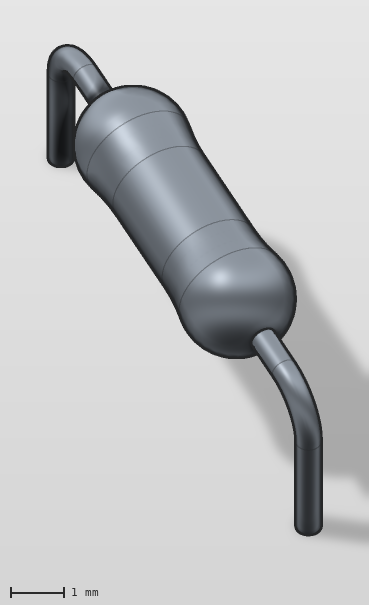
import cadquery as cq
import math

overall_length = 10.66
overall_height = 4.62
wire_diameter = 0.5
bend_radius = 1.0
end_ball_diameter = 2.24
barrel_diameter = 2.0
barrel_length = 2.03
body_length = 6.48

ball_radius = end_ball_diameter / 2
barrel_radius = barrel_diameter / 2
wire_radius = wire_diameter / 2
barrel_end = barrel_length / 2
body_end = body_length / 2
ball_center = body_end - ball_radius
lead_x = (overall_length - wire_diameter) / 2
lead_bottom = ball_radius - overall_height

neck_run = ball_center - barrel_end
neck_radius = (neck_run**2 + barrel_radius**2 - ball_radius**2) / (2 * (ball_radius - barrel_radius))
neck_center_height = barrel_radius + neck_radius
neck_angle = math.asin(neck_run / (neck_radius + ball_radius))


def point_on_neck(angle):
    """Point on the neck arc, with the angle measured from the barrel end."""
    x = barrel_end + neck_radius * math.sin(angle)
    height = neck_center_height - neck_radius * math.cos(angle)
    return x, height


def mirrored(point):
    return -point[0], point[1]


def make_body():
    """Barrel with a flared neck and a ball at each end, revolved about X."""
    neck_middle = point_on_neck(neck_angle / 2)
    neck_end = point_on_neck(neck_angle)
    ball_angle = (math.pi / 2 + neck_angle) / 2
    ball_middle = (
        ball_center + ball_radius * math.cos(ball_angle),
        ball_radius * math.sin(ball_angle),
    )
    profile = (
        cq.Workplane("XY")
        .moveTo(-body_end, 0)
        .threePointArc(mirrored(ball_middle), mirrored(neck_end))
        .threePointArc(mirrored(neck_middle), (-barrel_end, barrel_radius))
        .lineTo(barrel_end, barrel_radius)
        .threePointArc(neck_middle, neck_end)
        .threePointArc(ball_middle, (body_end, 0))
        .close()
    )
    return profile.revolve(360, (0, 0, 0), (1, 0, 0))


def make_leads():
    """One wire running through the body and bent down at both ends."""
    bend_start = lead_x - bend_radius
    path = (
        cq.Workplane("XZ")
        .moveTo(-lead_x, lead_bottom)
        .lineTo(-lead_x, -bend_radius)
        .tangentArcPoint((-bend_start, 0), relative=False)
        .lineTo(bend_start, 0)
        .tangentArcPoint((lead_x, -bend_radius), relative=False)
        .lineTo(lead_x, lead_bottom)
    )
    section = cq.Workplane("XY", origin=(-lead_x, 0, lead_bottom)).circle(wire_radius)
    return section.sweep(path)


result = make_body().union(make_leads())